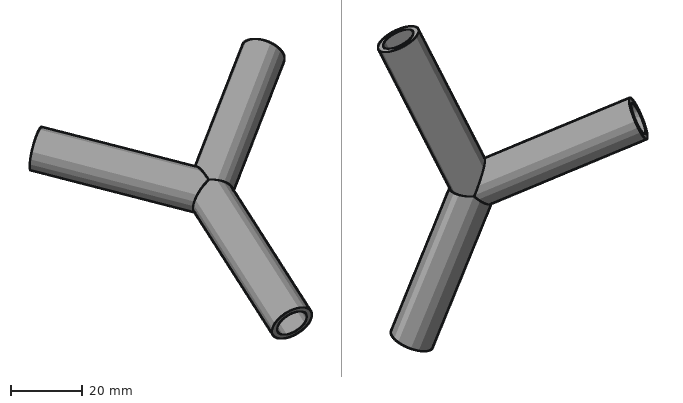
import cadquery as cq
import math

outer_diameter = 12.7
bore_diameter = 9.4
tube_length = 50.8

stem_angle = 0
branch_angle = 135
tube_angles = [stem_angle, branch_angle, 360 - branch_angle]

wedge_reach = 3 * tube_length


def polar_point(radius, angle):
    """Point in the XY plane at a given radius and angle in degrees."""
    return (
        radius * math.cos(math.radians(angle)),
        radius * math.sin(math.radians(angle)),
    )


def mitre_wedge(start_angle, axis_angle, end_angle):
    """Sector around one tube, bounded by the mitre planes to its neighbours."""
    return (
        cq.Workplane("XY")
        .moveTo(0, 0)
        .lineTo(*polar_point(wedge_reach, start_angle))
        .lineTo(*polar_point(wedge_reach, axis_angle))
        .lineTo(*polar_point(wedge_reach, end_angle))
        .close()
        .extrude(outer_diameter, both=True)
    )


def mitred_tube(axis_angle, previous_angle, next_angle):
    """Tube along its axis, cut at its inner end on the planes that bisect the corners."""
    straight_tube = (
        cq.Workplane("YZ")
        .circle(outer_diameter / 2)
        .circle(bore_diameter / 2)
        .extrude(tube_length)
        .rotate((0, 0, 0), (0, 0, 1), axis_angle)
    )
    start_angle = (axis_angle + previous_angle) / 2
    end_angle = (axis_angle + next_angle) / 2
    return straight_tube.intersect(mitre_wedge(start_angle, axis_angle, end_angle))


tubes = []
for index, axis_angle in enumerate(tube_angles):
    next_index = (index + 1) % len(tube_angles)
    angle_to_previous = (axis_angle - tube_angles[index - 1]) % 360
    angle_to_next = (tube_angles[next_index] - axis_angle) % 360
    tube = mitred_tube(axis_angle, axis_angle - angle_to_previous, axis_angle + angle_to_next)
    tubes.append(tube)

result = cq.Compound.makeCompound([tube.val() for tube in tubes])